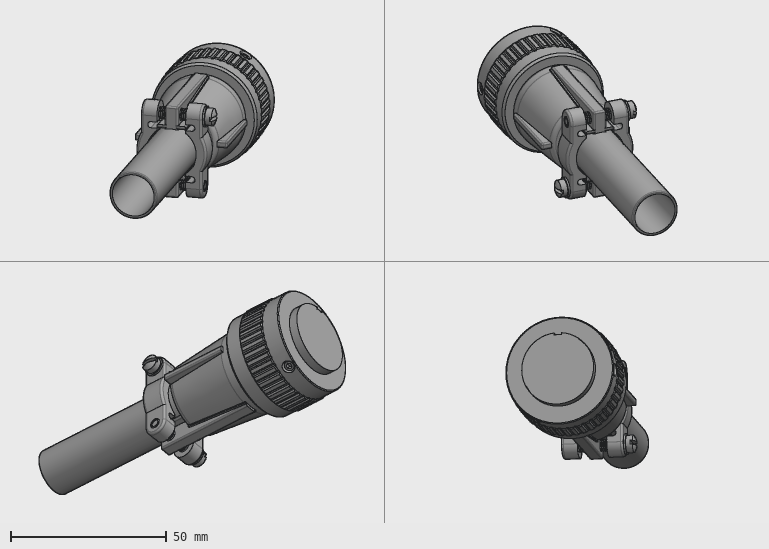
import cadquery as cq
import math


length = 109.4
insert_radius = 11.8
keyway_width = 2.4
keyway_depth = 0.7
body_radius = 14.4
body_cable_radius = 12.3
body_cable_end = 57.0
cone_start = 80.3
body_front_fillet = 1.3
body_cable_fillet = 1.6

nut_front = 106.3
nut_rear = 84.6
nut_radius = 17.7
nut_front_chamfer = 0.3
nut_rear_chamfer = 0.8

knurl_front = 99.9
knurl_rear = 90.5
knurl_diameter = 36.2
knurl_end_bevel = 0.4
knurl_count = 42
knurl_valley_radius = 17.5
knurl_land_width = 1.2
knurl_valley_width = 0.5

set_screw_y = 103.6
set_screw_angles = [30, 150, 270]
countersink_radius = 2.2
countersink_floor_radius = 1.6
countersink_depth = 0.7
socket_diameter = 2.0
socket_depth = 1.6

tube_radius = 7.9
tube_bore_radius = 7.0
tube_rim_fillet = 0.3

rib_reach = 15.4
rib_front = 81.1
body_rib_rear = 57.5
main_rib_width = 4.4
main_rib_fillet = 0.5
rib_foot_width = 5.7
rib_foot_rise = 0.2
side_rib_width = 2.3
side_rib_fillet = 0.5
side_rib_root = 9.8

tongue_width = 9.6
tongue_thickness = 1.2
tongue_fillet = 0.5

clamp_rear = 45.7
clamp_width = 8.0
clamp_inner_x = 4.8
clamp_outer_x = 10.2
clamp_arch_radius = 11.7
clamp_bore_radius = 8.3
clamp_edge_fillet = 0.8
clamp_slot_z = 8.8
clamp_slot_width = 2.1
clamp_slot_end_x = 7.9

screw_z = 11.8
screw_radius = 2.0
thread_pitch = 0.7
thread_depth = 0.3
washer_radius = 3.4
washer_thickness = 0.7
head_radius = 2.8
head_rim_x = 13.0
head_top_x = 14.0
head_slot_width = 1.2
head_slot_floor_x = 12.4
screw_tip_radius = 1.2
screw_hole_radius = 1.8
screw_tip_recess = 0.5

clamp_front = clamp_rear + clamp_width
clamp_mid = clamp_rear + clamp_width / 2
clamp_end_radius = clamp_width / 2
knurl_radius = knurl_diameter / 2


def ring(radius, rear, front):
    """Solid cylinder on the Y axis."""
    return cq.Workplane("XZ", origin=(0, front, 0)).circle(radius).extrude(front - rear)


def box(x_span, y_span, z_span):
    """Box given by its lower and upper limits on each axis."""
    spans = (x_span, y_span, z_span)
    size = [high - low for low, high in spans]
    middle = [(low + high) / 2 for low, high in spans]
    return cq.Workplane("XY").box(*size).translate(tuple(middle))


def turned(solid, angle):
    """Copy of the solid turned about the Y axis."""
    return solid.rotate((0, 0, 0), (0, 1, 0), angle)


def make_insert():
    insert = ring(insert_radius, nut_rear, length)
    half = keyway_width / 2
    keyway = box((-half, half), (nut_front, length), (insert_radius - keyway_depth, insert_radius))
    return insert.cut(keyway)


def make_knurl():
    knurl = ring(knurl_radius, knurl_rear, knurl_front).faces("<Y or >Y").chamfer(knurl_end_bevel)
    pitch = 2 * math.pi * knurl_radius / knurl_count
    half_mouth = (pitch - knurl_land_width) / 2
    half_valley = knurl_valley_width / 2
    groove = (
        cq.Workplane("XZ", origin=(0, knurl_front, 0))
        .moveTo(-half_valley, knurl_valley_radius)
        .lineTo(half_valley, knurl_valley_radius)
        .lineTo(half_mouth, knurl_radius)
        .lineTo(-half_mouth, knurl_radius)
        .close()
        .extrude(knurl_front - knurl_rear)
    )
    step = 360 / knurl_count
    grooves = [turned(groove, (i + 0.5) * step).val() for i in range(knurl_count)]
    return knurl, cq.Workplane(cq.Compound.makeCompound(grooves))


def set_screw_recess():
    """Countersink with a hex socket, sunk from +Z."""
    rim = cq.Workplane("XY", origin=(0, set_screw_y, nut_radius))
    countersink = (
        rim.circle(countersink_radius)
        .workplane(offset=-countersink_depth)
        .circle(countersink_floor_radius)
        .loft()
    )
    socket = rim.polygon(6, socket_diameter).extrude(-countersink_depth - socket_depth)
    return countersink.union(socket)


def make_nut():
    nut = ring(nut_radius, nut_rear, nut_front)
    nut = nut.faces(">Y").chamfer(nut_front_chamfer).faces("<Y").chamfer(nut_rear_chamfer)
    knurl, grooves = make_knurl()
    nut = nut.union(knurl).cut(grooves)
    for angle in set_screw_angles:
        nut = nut.cut(turned(set_screw_recess(), angle))
    return nut


def make_body():
    body = (
        cq.Workplane("XY")
        .polyline([
            (0, body_cable_end),
            (body_cable_radius, body_cable_end),
            (body_radius, cone_start),
            (body_radius, nut_rear),
            (0, nut_rear),
        ])
        .close()
        .revolve(360, (0, 0, 0), (0, 1, 0))
    )
    return body.faces(">Y").edges().fillet(body_front_fillet).faces("<Y").edges().fillet(body_cable_fillet)


def make_tube():
    return ring(tube_radius, 0, nut_rear).faces("<Y").edges().fillet(tube_rim_fillet)


def main_rib():
    """Rib on +Z with its wider foot along the cone and the tongue under its cable end."""
    half = main_rib_width / 2
    rib_root = (tube_radius + tube_bore_radius) / 2
    rib = box((-half, half), (clamp_rear, rib_front), (rib_root, rib_reach))
    rib = rib.edges("(>Z and |Y) or (<Y and |Z) or (>Z and <Y)").fillet(main_rib_fillet)
    foot = (
        cq.Workplane("YZ", origin=(-rib_foot_width / 2, 0, 0))
        .polyline([
            (body_rib_rear, tube_radius),
            (body_rib_rear, body_cable_radius + rib_foot_rise),
            (cone_start, body_radius + rib_foot_rise),
            (rib_front, body_radius + rib_foot_rise),
            (rib_front, tube_radius),
        ])
        .close()
        .extrude(rib_foot_width)
    )
    tongue = box(
        (-tongue_width / 2, tongue_width / 2),
        (clamp_rear, body_cable_end + body_cable_fillet),
        (tube_radius, tube_radius + tongue_thickness),
    )
    tongue = tongue.edges("|Y or (<Z and <Y)").fillet(tongue_fillet)
    return rib.union(foot).union(tongue)


def side_rib():
    """Rib on +X."""
    half = side_rib_width / 2
    rib = box((side_rib_root, rib_reach), (body_rib_rear, rib_front), (-half, half))
    return rib.edges("(>X and |Y) or (<Y and |X) or (>X and <Y)").fillet(side_rib_fillet)


def clamp_half():
    """Clamp half on +X: a bar with round ends, arched over the tube."""
    bar = (
        cq.Workplane("YZ", origin=(clamp_inner_x, clamp_mid, 0))
        .slot2D(2 * (screw_z + clamp_end_radius), clamp_width, 90)
        .extrude(clamp_outer_x - clamp_inner_x)
    )
    arch_half_height = math.sqrt(clamp_arch_radius**2 - clamp_outer_x**2)
    arch_zone = box(
        (clamp_inner_x, clamp_arch_radius),
        (clamp_rear, clamp_front),
        (-arch_half_height, arch_half_height),
    )
    arch = ring(clamp_arch_radius, clamp_rear, clamp_front).edges().fillet(clamp_edge_fillet)
    half = bar.faces(">X").edges().fillet(clamp_edge_fillet).union(arch.intersect(arch_zone))
    half = half.cut(ring(clamp_bore_radius, clamp_rear, clamp_front))
    for side in (-1, 1):
        slot = (
            cq.Workplane("XZ", origin=(0, clamp_front, side * clamp_slot_z))
            .slot2D(2 * clamp_slot_end_x, clamp_slot_width)
            .extrude(clamp_width)
        )
        half = half.cut(slot)
    return half


def screw_profile(points):
    """Solid turned about the X axis from (x, radius) points, placed on the upper screw axis."""
    shape = cq.Workplane("XY").polyline(points).close().revolve(360, (0, 0, 0), (1, 0, 0))
    return shape.translate((0, clamp_mid, screw_z))


def clamp_screw():
    """Screw with its head on +X and a ringed thread between the clamp halves."""
    thread_rings = round(2 * clamp_inner_x / thread_pitch)
    pitch = 2 * clamp_inner_x / thread_rings
    outline = [(-clamp_inner_x, 0), (-clamp_inner_x, screw_radius)]
    for i in range(thread_rings):
        start = -clamp_inner_x + i * pitch
        outline.append((start + pitch / 2, screw_radius - thread_depth))
        outline.append((start + pitch, screw_radius))
    outline.append((clamp_inner_x, 0))
    thread = screw_profile(outline)

    seat = cq.Workplane("YZ", origin=(clamp_outer_x, clamp_mid, screw_z))
    washer = seat.circle(washer_radius).extrude(washer_thickness)
    dome_height = head_top_x - head_rim_x
    dome_radius = (head_radius**2 + dome_height**2) / (2 * dome_height)
    dome_middle_x = head_top_x - dome_radius + math.sqrt(dome_radius**2 - (head_radius / 2) ** 2)
    head = (
        cq.Workplane("XY")
        .moveTo(clamp_outer_x, 0)
        .lineTo(clamp_outer_x, head_radius)
        .lineTo(head_rim_x, head_radius)
        .threePointArc(
            (dome_middle_x, head_radius / 2),
            (head_top_x, 0),
        )
        .close()
        .revolve(360, (0, 0, 0), (1, 0, 0))
        .translate((0, clamp_mid, screw_z))
    )
    half_slot = head_slot_width / 2
    driver_slot = box(
        (head_slot_floor_x, head_top_x),
        (clamp_mid - head_radius, clamp_mid + head_radius),
        (screw_z - half_slot, screw_z + half_slot),
    )
    return thread.union(washer).union(head.cut(driver_slot))


def screw_tip_groove():
    """V groove around the pointed screw tip, flush with the clamp on -X."""
    floor_x = -clamp_outer_x + screw_tip_recess
    return screw_profile([
        (-clamp_outer_x, screw_tip_radius),
        (-clamp_outer_x, screw_hole_radius),
        (floor_x, screw_hole_radius),
    ])


result = make_body().union(make_insert()).union(make_nut()).union(make_tube())
for half_turn in (0, 180):
    result = result.union(turned(main_rib(), half_turn)).union(turned(side_rib(), half_turn))
    result = result.union(turned(clamp_half(), half_turn))
for half_turn in (0, 180):
    result = result.union(turned(clamp_screw(), half_turn))
    result = result.cut(turned(screw_tip_groove(), half_turn))
result = result.cut(ring(tube_bore_radius, 0, nut_rear))